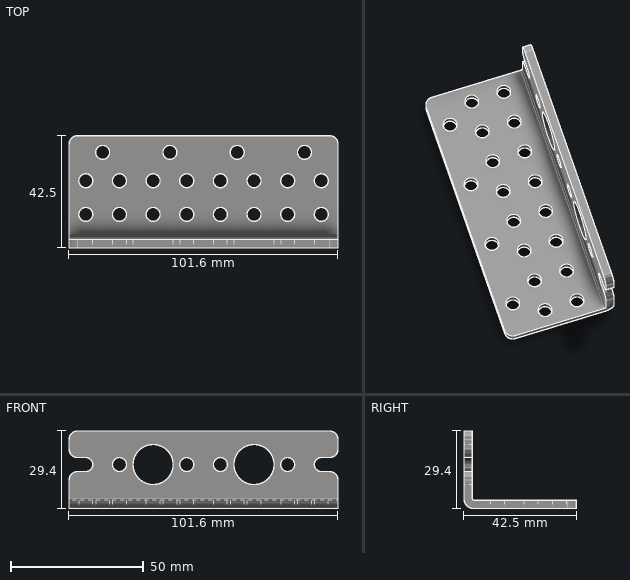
import cadquery as cq

length = 101.6
depth = 42.5
height = 29.4
thickness = 3.3
bend_inner_radius = 0.6
bend_outer_radius = bend_inner_radius + thickness
corner_radius = 3.3

pitch = length / 8
hole_diameter = 5.2
large_hole_diameter = 15.0
large_hole_spacing = 3 * pitch
flange_hole_z = height - pitch
base_row_ys = [pitch, 2 * pitch]
back_row_y = depth - pitch / 2

notch_width = hole_diameter
notch_center_inset = pitch / 2


def centered_row(count, spacing):
    """Positions of equally spaced items, centred on zero."""
    return [(i - (count - 1) / 2) * spacing for i in range(count)]


def bent_sheet():
    """L-shaped sheet with a rounded bend along X."""
    profile = (
        cq.Workplane("YZ")
        .polyline([
            (0, 0), (depth, 0), (depth, thickness),
            (thickness, thickness), (thickness, height), (0, height),
        ])
        .close()
        .extrude(length / 2, both=True)
    )
    bent = profile.edges(cq.selectors.NearestToPointSelector((0, 0, 0))).fillet(bend_outer_radius)
    inner_corner = cq.selectors.NearestToPointSelector((0, thickness, thickness))
    bent = bent.edges(inner_corner).fillet(bend_inner_radius)
    bent = bent.faces(">Y").edges("|Z").fillet(corner_radius)
    return bent.faces(">Z").edges("|Y").fillet(corner_radius)


def base_holes():
    """Cutters for the two full rows and the sparser back row."""
    points = [(x, y) for y in base_row_ys for x in centered_row(8, pitch)]
    points += [(x, back_row_y) for x in centered_row(4, 2 * pitch)]
    return cq.Workplane("XY").pushPoints(points).circle(hole_diameter / 2).extrude(thickness)


def flange_cutter(points, diameter):
    """Round cutters through the upright flange, which spans y = 0 to thickness."""
    return cq.Workplane("XZ").pushPoints(points).circle(diameter / 2).extrude(-thickness)


def flange_holes():
    """Each large hole has a small hole one pitch to either side."""
    large_xs = centered_row(2, large_hole_spacing)
    large = [(x, flange_hole_z) for x in large_xs]
    small = [(x + side * pitch, flange_hole_z) for x in large_xs for side in (-1, 1)]
    return flange_cutter(large, large_hole_diameter).union(flange_cutter(small, hole_diameter))


def end_notch(side):
    """Round-bottomed notch cutter, open at the flange end on the given side (-1 or 1)."""
    end_x = side * length / 2
    center_x = end_x - side * notch_center_inset
    slot = (
        cq.Workplane("XZ")
        .center((end_x + center_x) / 2, flange_hole_z)
        .rect(notch_center_inset, notch_width)
        .extrude(-thickness)
    )
    return slot.union(flange_cutter([(center_x, flange_hole_z)], notch_width))


def round_notch_mouths(body):
    """Round the two outer corners of each notch."""
    for side in (-1, 1):
        for offset in (-notch_width / 2, notch_width / 2):
            mouth = (side * length / 2, thickness / 2, flange_hole_z + offset)
            body = body.edges(cq.selectors.NearestToPointSelector(mouth)).fillet(corner_radius)
    return body


bracket = bent_sheet().cut(base_holes()).cut(flange_holes())
for end in (-1, 1):
    bracket = bracket.cut(end_notch(end))

result = round_notch_mouths(bracket)